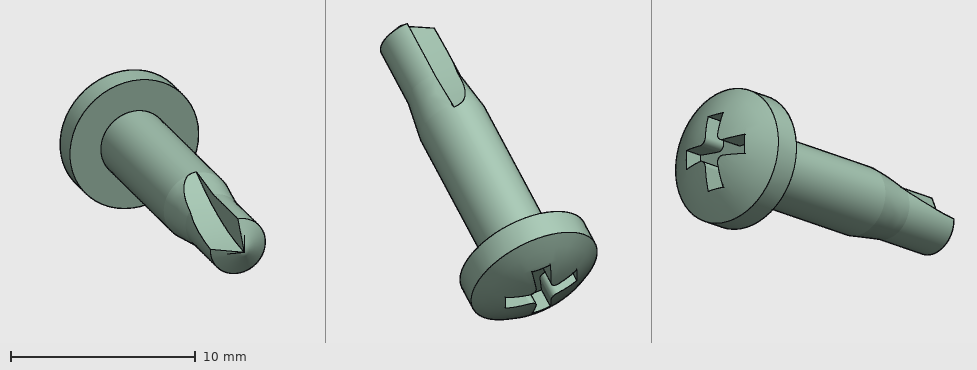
import cadquery as cq
import math

length = 18.75
head_radius = 7.5 / 2
shank_radius = 3.9 / 2
point_radius = 3.2 / 2

dome_apex = -0.05
dome_end = 1.28
head_end = 2.74
shank_end = 11.92
taper_end = 14.25
tip_half_angle = 60.0
tip_start = length - point_radius / math.tan(math.radians(tip_half_angle))

recess_reach = 2.12
recess_outer_half_width = 0.55
recess_inner_half_width = 0.41
recess_corner_radius = 0.38
recess_floor = 1.5

flute_start = 11.75
flute_mid_height = 0.85


def make_body():
    dome_height = dome_end - dome_apex
    dome_radius = (head_radius**2 + dome_height**2) / (2 * dome_height)
    mid_radius = head_radius / 2
    mid_x = dome_apex + dome_radius - math.sqrt(dome_radius**2 - mid_radius**2)
    profile = (
        cq.Workplane("XY")
        .moveTo(dome_apex, 0)
        .threePointArc((mid_x, mid_radius), (dome_end, head_radius))
        .lineTo(head_end, head_radius)
        .lineTo(head_end, shank_radius)
        .lineTo(shank_end, shank_radius)
        .lineTo(taper_end, point_radius)
        .lineTo(tip_start, point_radius)
        .lineTo(length, 0)
        .close()
    )
    return profile.revolve(360, (0, 0, 0), (1, 0, 0))


def make_recess():
    """Four arms that widen outward, with rounded inner corners."""
    depth = recess_floor - dome_apex
    plane = cq.Workplane("YZ", origin=(dome_apex, 0, 0))
    arm = plane.polyline([
        (0, -recess_inner_half_width),
        (recess_inner_half_width, -recess_inner_half_width),
        (recess_reach, -recess_outer_half_width),
        (recess_reach, recess_outer_half_width),
        (recess_inner_half_width, recess_inner_half_width),
        (0, recess_inner_half_width),
    ]).close().extrude(depth)
    cross = arm
    for turn in (90, 180, 270):
        cross = cross.union(arm.rotate((0, 0, 0), (1, 0, 0), turn))
    corner_reach = 2 * recess_inner_half_width
    selection_margin = 0.19
    inner_corners = cq.selectors.BoxSelector(
        (dome_apex - selection_margin, -corner_reach, -corner_reach),
        (recess_floor + selection_margin, corner_reach, corner_reach),
    )
    return cross.edges("|X").edges(inner_corners).fillet(recess_corner_radius)


def make_flute():
    """Space in front of the axial plane Y = 0 and above an arc that falls to the tip."""
    return (
        cq.Workplane("XZ")
        .moveTo(flute_start, shank_radius)
        .threePointArc((taper_end, flute_mid_height), (length, 0))
        .lineTo(length, shank_radius)
        .close()
        .extrude(shank_radius)
    )


result = make_body().cut(make_recess()).cut(make_flute())